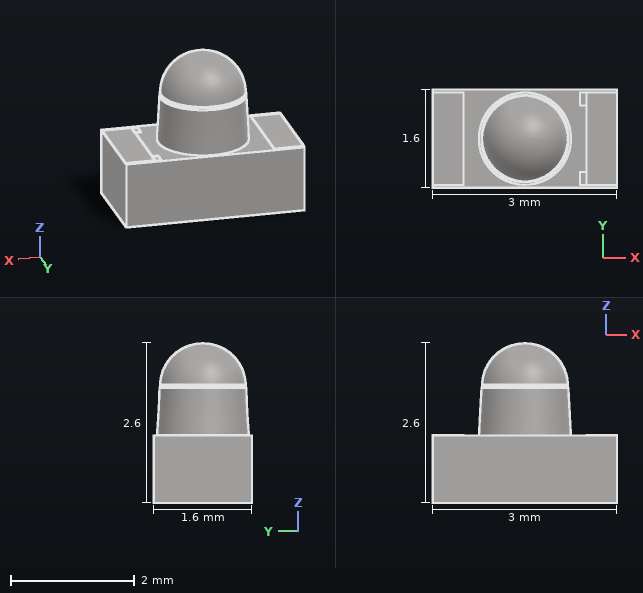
import cadquery as cq
import math

base_length = 3.0
base_width = 1.6
base_height = 1.1

pad_length = 0.498
pad_width = 1.505
pad_thickness = 0.01

mark_length = 0.105
mark_width = 0.21
mark_depth = 0.01

total_height = 2.6
stem_bottom_radius = 0.75
stem_top_radius = 0.708
stem_top_z = 1.872
groove_radius = 0.69
groove_z = 1.902
dome_radius = 0.702
dome_bottom_z = 1.93

pad_center_x = (base_length - pad_length) / 2
mark_center_x = base_length / 2 - pad_length - mark_length / 2
mark_center_y = (pad_width - mark_width) / 2
dome_center_z = total_height - dome_radius


def plate(length, width, thickness, x, y, bottom_z):
    """Rectangular plate centred on (x, y), rising from bottom_z."""
    blank = cq.Workplane("XY").box(length, width, thickness, centered=(True, True, False))
    return blank.translate((x, y, bottom_z))


def make_pad(side):
    """Terminal pad on the -X (side = -1) or +X (side = 1) end."""
    return plate(pad_length, pad_width, pad_thickness, side * pad_center_x, 0, base_height)


def make_mark(side):
    """Polarity mark near the -Y (side = -1) or +Y (side = 1) edge."""
    bottom_z = base_height - mark_depth
    return plate(mark_length, mark_width, mark_depth, mark_center_x, side * mark_center_y, bottom_z)


def make_base(marks):
    """Block with a matching recess for each mark."""
    block = plate(base_length, base_width, base_height, 0, 0, 0)
    for mark in marks:
        block = block.cut(mark)
    return block


def make_lens():
    """Half profile of the stem, groove and dome, revolved about Z."""
    dome_bottom_radius = math.sqrt(dome_radius**2 - (dome_bottom_z - dome_center_z) ** 2)
    diagonal = dome_radius * math.sqrt(0.5)
    profile = (
        cq.Workplane("XZ")
        .moveTo(0, base_height)
        .lineTo(stem_bottom_radius, base_height)
        .lineTo(stem_top_radius, stem_top_z)
        .lineTo(groove_radius, groove_z)
        .lineTo(dome_bottom_radius, dome_bottom_z)
        .threePointArc((diagonal, dome_center_z + diagonal), (0, total_height))
        .close()
    )
    return profile.revolve(360, (0, 0, 0), (0, 1, 0))


pads = [make_pad(side) for side in (-1, 1)]
marks = [make_mark(side) for side in (-1, 1)]
base = make_base(marks)
lens = make_lens()

result = cq.Compound.makeCompound(
    [
        base.val(),
        lens.val(),
        *[pad.val() for pad in pads],
        *[mark.val() for mark in marks],
    ]
)